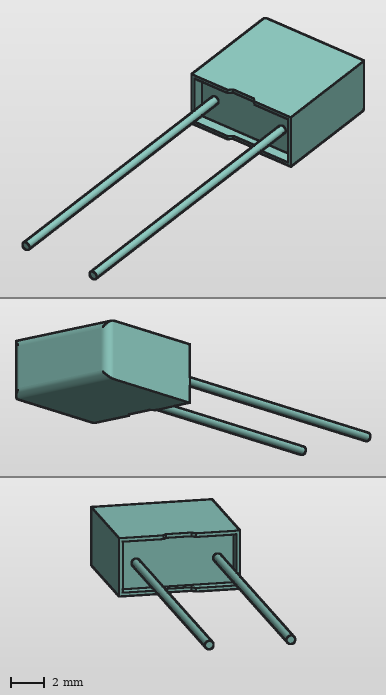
import cadquery as cq

total_length = 25.6

housing_width = 7.4
housing_length = 7.6
housing_height = 3.6
wall = 0.23
back_fillet = 0.5

notch_mouth_width = 2.0
notch_floor_width = 1.54
notch_depth = 0.23

filling_recess = 0.75

lead_diameter = 0.55
lead_pitch = 5.0

cavity_width = housing_width - 2 * wall
cavity_height = housing_height - 2 * wall
cavity_length = housing_length - wall
lead_tip_y = housing_length - total_length


def box_along_y(width, height, start_y, end_y):
    """Box centred on the Y axis between two Y positions."""
    box = cq.Workplane("XY").box(width, end_y - start_y, height, centered=(True, False, True))
    return box.translate((0, start_y, 0))


def make_notch():
    """Trapezoidal cutter, wider at the mouth, passing through both broad walls."""
    return (
        cq.Workplane("XY")
        .moveTo(-notch_mouth_width / 2, 0)
        .lineTo(-notch_floor_width / 2, notch_depth)
        .lineTo(notch_floor_width / 2, notch_depth)
        .lineTo(notch_mouth_width / 2, 0)
        .close()
        .extrude(housing_height / 2, both=True)
    )


def make_housing():
    """Cup with a rounded closed back and a notched open rim."""
    shell = box_along_y(housing_width, housing_height, 0, housing_length)
    shell = shell.faces(">Y").edges().fillet(back_fillet)
    cavity = box_along_y(cavity_width, cavity_height, 0, cavity_length)
    return shell.cut(cavity).cut(make_notch())


def make_filling():
    """Block that fills the cavity behind the recess."""
    return box_along_y(cavity_width, cavity_height, filling_recess, cavity_length)


def make_lead(x):
    """Round lead from its tip to the face of the filling."""
    return (
        cq.Workplane("XZ", origin=(x, filling_recess, 0))
        .circle(lead_diameter / 2)
        .extrude(filling_recess - lead_tip_y)
    )


housing = make_housing()
filling = make_filling()
leads = []
for side in (-1, 1):
    leads.append(make_lead(side * lead_pitch / 2).val())

result = cq.Compound.makeCompound([housing.val(), filling.val(), *leads])